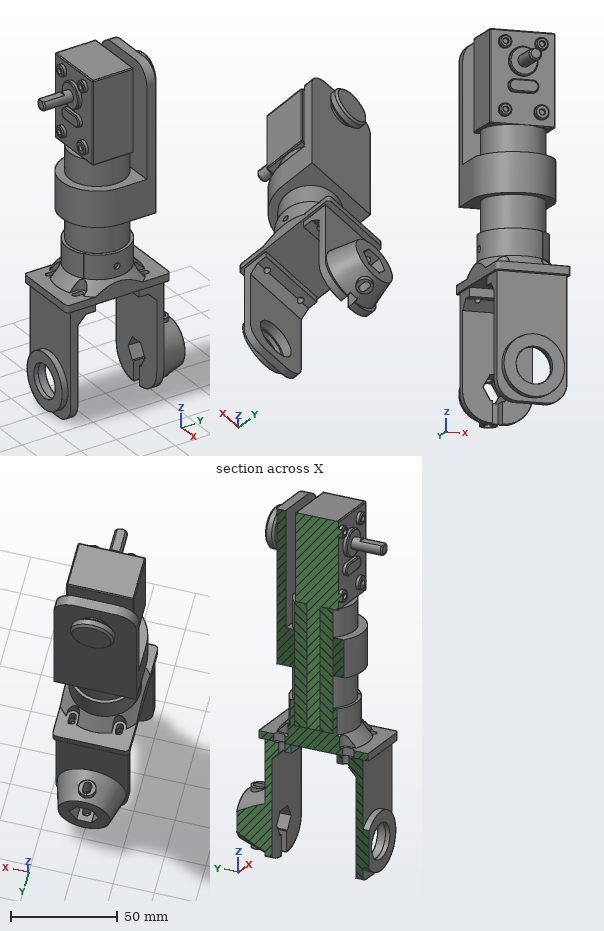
import cadquery as cq
import math

wall = 4.0

tube_radius = 15.5
tube_top = 136.1
motor_radius = 12.0

gearbox_width = 32.8
gearbox_front = -13.3
gearbox_back = 9.8
gearbox_top = 182.0
gearbox_chamfer = 0.5
shaft_z = 167.0
shaft_radius = 3.1
shaft_end = -31.8
shaft_chamfer = 0.7
flat_start = -19.7
flat_depth = 0.7
boss_height = 2.2
boss_chamfer = 0.5
shaft_boss_radius = 7.1
screw_x = 9.1
screw_z_low = 143.0
screw_z_high = 176.0
screw_radius = 3.1
large_screw_radius = 3.55
socket_radius = 1.5
socket_depth = 1.5
pad_z = 155.0
pad_length = 15.0
pad_height = 6.2

clamp_radius = 20.0
clamp_bottom = 102.3
clamp_top = 122.0
bracket_back = 19.8
bracket_plate = 5.1
bracket_corner = 10.0
pivot_radius = 7.1
pivot_length = 2.0

disc_radius = 10.5
disc_width = 5.0
disc_chamfer = 1.1

flange_width = 37.1
flange_length = 58.5
flange_bottom = 62.2
flange_corner = 2.0
collar_radius = 17.1
collar_bottom = 72.5
collar_top = 85.7
cone_radius = 22.8
collar_hole_radius = 1.6
collar_hole_z = 78.3
split_width = 0.4
split_angle = -55.0
slot_x = 11.5
slot_width = 3.1
slot_inner = 15.5
slot_outer = 21.3
slot_clearance = 6.2

arm_width = 35.0
hub_arm_outer = 26.0
plain_arm_outer = 26.4
foot_length = 14.0
foot_thickness = 4.4
foot_hole_y = 17.1
brace_size = 4.7
axle_z = 17.1
plain_arm_corner = 10.2
hub_arm_corner = 14.4

ring_radius = 15.1
ring_height = 3.3
ring_bore_radius = 9.1
seat_radius = disc_radius
seat_depth = disc_width

hub_length = 15.1
hub_rim = 0.5
hub_base_radius = 16.7
hub_end_radius = 12.5
hub_boss_radius = 4.2
hub_boss_half_height = 15.7
hub_boss_inset = 6.2
hex_across_flats = 12.5
key_slot_width = 5.0
key_slot_depth = 6.0
pin_slot_width = 3.8
pin_slot_length = 6.2

flange_top = flange_bottom + wall
bracket_front = bracket_back - bracket_plate
pivot_end = bracket_back + pivot_length
hub_arm_inner = hub_arm_outer - wall
plain_arm_inner = plain_arm_outer - wall
hub_end = hub_arm_outer + hub_length
seat_floor = -plain_arm_inner - seat_depth


def rod_y(radius, x, z, y_from, y_to):
    """Cylinder parallel to Y between two Y places."""
    return cq.Workplane("XZ", origin=(x, y_from, z)).circle(radius).extrude(y_from - y_to)


def rod_z(radius, x, y, z_from, z_to):
    """Cylinder parallel to Z between two heights."""
    return cq.Workplane("XY", origin=(x, y, z_from)).circle(radius).extrude(z_to - z_from)


def block(x_from, x_to, y_from, y_to, z_from, z_to):
    """Box between two opposite corners."""
    size = (x_to - x_from, y_to - y_from, z_to - z_from)
    return cq.Workplane("XY", origin=(x_from, y_from, z_from)).box(*size, centered=False)


def make_gear_motor():
    half = gearbox_width / 2
    body = block(-half, half, gearbox_front, gearbox_back, tube_top, gearbox_top)
    body = body.edges().chamfer(gearbox_chamfer)
    body = body.union(rod_z(motor_radius, 0, 0, collar_bottom, tube_top))

    boss_end = gearbox_front - boss_height
    body = body.union(
        rod_y(shaft_boss_radius, 0, shaft_z, gearbox_front, boss_end).faces("<Y").chamfer(boss_chamfer)
    )
    pad = cq.Workplane("XZ", origin=(0, gearbox_front, pad_z)).slot2D(pad_length, pad_height)
    body = body.union(pad.extrude(boss_height).faces("<Y").chamfer(boss_chamfer))

    screws = [
        (-screw_x, screw_z_low, screw_radius),
        (screw_x, screw_z_low, large_screw_radius),
        (-screw_x, screw_z_high, screw_radius),
        (screw_x, screw_z_high, screw_radius),
    ]
    for x, z, radius in screws:
        head = rod_y(radius, x, z, gearbox_front, boss_end).faces("<Y").chamfer(boss_chamfer)
        body = body.union(head).cut(rod_y(socket_radius, x, z, boss_end + socket_depth, boss_end))

    return body.union(make_shaft())


def make_shaft():
    shaft = rod_y(shaft_radius, 0, shaft_z, gearbox_front, shaft_end)
    shaft = shaft.faces("<Y").chamfer(shaft_chamfer)
    flat_z = shaft_z + shaft_radius - flat_depth
    return shaft.cut(
        block(-shaft_radius, shaft_radius, shaft_end, flat_start, flat_z, flat_z + shaft_radius)
    )


def make_tube():
    return rod_z(tube_radius, 0, 0, collar_bottom, tube_top).cut(
        rod_z(motor_radius, 0, 0, collar_bottom, tube_top)
    )


def make_bracket():
    clamp = (
        cq.Workplane("XY", origin=(0, 0, clamp_bottom))
        .moveTo(-clamp_radius, bracket_back)
        .lineTo(-clamp_radius, 0)
        .threePointArc((0, -clamp_radius), (clamp_radius, 0))
        .lineTo(clamp_radius, bracket_back)
        .close()
        .extrude(clamp_top - clamp_bottom)
    )
    plate = block(-clamp_radius, clamp_radius, bracket_front, bracket_back, clamp_bottom, gearbox_top)
    plate = plate.edges("|Y and >Z").fillet(bracket_corner)
    bracket = clamp.union(plate).union(rod_y(pivot_radius, 0, shaft_z, bracket_back, pivot_end))
    return bracket.cut(rod_z(tube_radius, 0, 0, clamp_bottom, tube_top))


def make_disc():
    disc = rod_y(disc_radius, 0, shaft_z, pivot_end, pivot_end + disc_width)
    return disc.edges().chamfer(disc_chamfer)


def make_flange():
    half_width = flange_width / 2
    half_length = flange_length / 2
    plate = block(-half_width, half_width, -half_length, half_length, flange_bottom, flange_top)
    plate = plate.edges("|Z").fillet(flange_corner)
    cone = (
        cq.Workplane("XZ")
        .moveTo(0, flange_top)
        .lineTo(cone_radius, flange_top)
        .lineTo(collar_radius, collar_bottom)
        .lineTo(0, collar_bottom)
        .close()
        .revolve(360, (0, 0, 0), (0, 1, 0))
    )
    cone = cone.intersect(
        block(-half_width, half_width, -half_length, half_length, flange_top, collar_bottom)
    )
    flange = plate.union(cone)
    for side in (-1, 1):
        for x in (-slot_x, slot_x):
            flange = flange.cut(slot_cutter(x, side, slot_clearance, flange_top, collar_bottom))
            flange = flange.cut(slot_cutter(x, side, slot_width, flange_bottom, flange_top))
    collar = rod_z(collar_radius, 0, 0, collar_bottom, collar_top)
    flange = flange.union(collar).cut(rod_z(tube_radius, 0, 0, collar_bottom, collar_top))
    cross_hole = cq.Workplane("YZ", origin=(-collar_radius, 0, collar_hole_z))
    cross_hole = cross_hole.circle(collar_hole_radius).extrude(2 * collar_radius)
    split = block(0, 2 * collar_radius, -split_width / 2, split_width / 2, collar_bottom, collar_top)
    split = split.rotate((0, 0, 0), (0, 0, 1), split_angle)
    return flange.cut(cross_hole).cut(split.intersect(collar))


def slot_cutter(x, side, width, z_from, z_to):
    """Upright slot that runs along Y, on one side of the collar."""
    end_growth = (width - slot_width) / 2
    length = slot_outer - slot_inner + 2 * end_growth
    middle = side * (slot_inner + slot_outer) / 2
    return (
        cq.Workplane("XY", origin=(x, middle, z_from)).slot2D(length, width, 90).extrude(z_to - z_from)
    )


def make_arm(arm_outer, corner):
    """Arm on the +Y side: an upright plate with a braced foot under the flange."""
    arm_inner = arm_outer - wall
    foot_inner = arm_outer - foot_length
    foot_bottom = flange_bottom - foot_thickness
    brace_bottom = foot_bottom - brace_size
    brace_start = arm_inner - brace_size
    arm = (
        cq.Workplane("YZ", origin=(-arm_width / 2, 0, 0))
        .moveTo(arm_outer, 0)
        .lineTo(arm_outer, flange_bottom)
        .lineTo(foot_inner, flange_bottom)
        .lineTo(foot_inner, foot_bottom)
        .lineTo(brace_start, foot_bottom)
        .lineTo(arm_inner, brace_bottom)
        .lineTo(arm_inner, 0)
        .close()
        .extrude(arm_width)
    )
    arm = arm.edges("|Y and <Z").fillet(corner)
    for x in (-slot_x, slot_x):
        arm = arm.cut(rod_z(slot_width / 2, x, foot_hole_y, brace_bottom, flange_bottom))
    return arm


def make_plain_arm():
    arm = make_arm(plain_arm_outer, plain_arm_corner).mirror("XZ")
    ring_end = -plain_arm_outer - ring_height
    arm = arm.union(rod_y(ring_radius, 0, axle_z, -plain_arm_outer, ring_end))
    arm = arm.cut(rod_y(seat_radius, 0, axle_z, -plain_arm_inner, seat_floor))
    return arm.cut(rod_y(ring_bore_radius, 0, axle_z, -plain_arm_inner, ring_end))


def make_hub_arm():
    hub = (
        cq.Workplane("XY", origin=(0, 0, axle_z))
        .moveTo(0, hub_arm_outer)
        .lineTo(hub_base_radius, hub_arm_outer)
        .lineTo(hub_base_radius, hub_arm_outer + hub_rim)
        .lineTo(hub_end_radius, hub_end)
        .lineTo(0, hub_end)
        .close()
        .revolve(360, (0, 0, 0), (0, 1, 0))
    )
    boss_y = hub_end - hub_boss_inset
    boss_low = axle_z - hub_boss_half_height
    boss_high = axle_z + hub_boss_half_height
    hub = hub.union(rod_z(hub_boss_radius, 0, boss_y, boss_low, boss_high))
    arm = make_arm(hub_arm_outer, hub_arm_corner).union(hub)

    hex_corner_diameter = hex_across_flats / math.cos(math.radians(30))
    hex_bore = cq.Workplane("XZ", origin=(0, hub_end, axle_z)).polygon(6, hex_corner_diameter)
    arm = arm.cut(hex_bore.extrude(hub_end - hub_arm_inner))
    half_key = key_slot_width / 2
    arm = arm.cut(block(-half_key, half_key, hub_arm_inner, hub_arm_inner + key_slot_depth, 0, axle_z))
    pin_slot = cq.Workplane("XY", origin=(0, boss_y, boss_low)).slot2D(pin_slot_length, pin_slot_width, 90)
    return arm.cut(pin_slot.extrude(boss_high - boss_low))


gear_motor = make_gear_motor()
tube = make_tube()
bracket = make_bracket()
disc = make_disc()
flange = make_flange()
plain_arm = make_plain_arm()
hub_arm = make_hub_arm()

result = cq.Compound.makeCompound(
    [body.val() for body in (gear_motor, tube, bracket, disc, flange, plain_arm, hub_arm)]
)